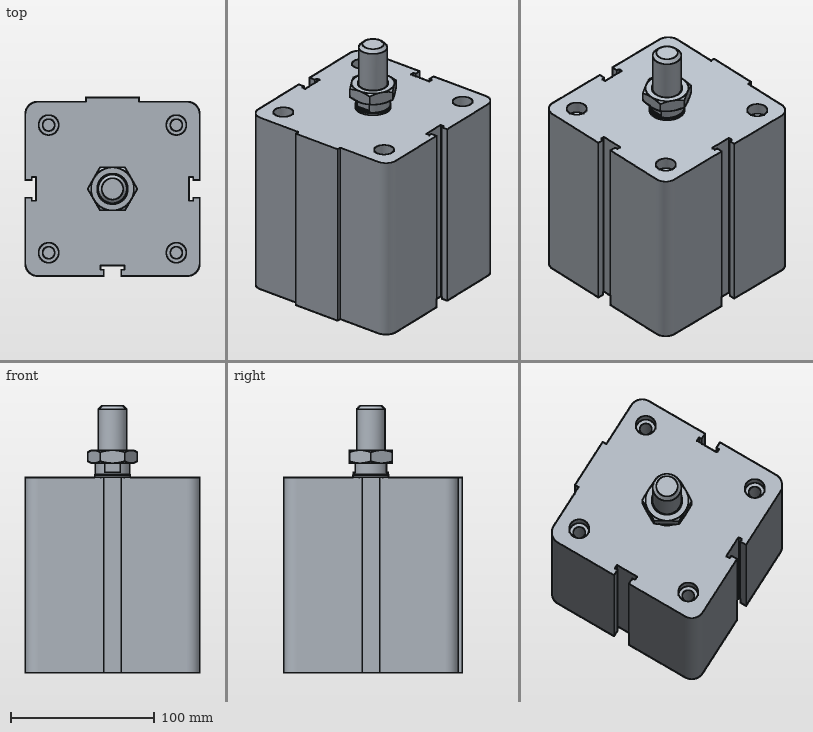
import cadquery as cq
import math

TOTAL_HEIGHT = 186.5
HOUSING_SIDE = 122.0
HOUSING_HEIGHT = 136.5
CORNER_RADIUS = 9.0
HALF_SIDE = HOUSING_SIDE / 2

STRIP_WIDTH = 37.1
STRIP_RISE = 3.0

SLOT_MOUTH_WIDTH = 12.1
SLOT_INNER_WIDTH = 16.5
SLOT_LIP = 4.7
SLOT_DEPTH = 7.5
SLOT_SIDE_ANGLES = (-90, 0, 90)

HOLE_PITCH = 89.1
COUNTERBORE_DIAMETER = 14.0
COUNTERBORE_DEPTH = 8.5
HOLE_DIAMETER = 8.4
HOLE_DEPTH = 37.3

BASE_RING_DIAMETER = 25.0
BASE_RING_HEIGHT = 2.0
BASE_RING_BEVEL_HEIGHT = 0.5
COLLAR_DIAMETER = 24.5
FLATS_ACROSS = 22.0
FLATS_CLEARANCE = 3.4
FLATS_BOTTOM = HOUSING_HEIGHT + FLATS_CLEARANCE
THREAD_DIAMETER = 20.0
TIP_DIAMETER = 15.0

NUT_ACROSS_FLATS = 30.0
NUT_HEIGHT = 9.0
NUT_CLEARANCE = 9.9
NUT_BOTTOM = HOUSING_HEIGHT + NUT_CLEARANCE
NUT_BEVEL_ANGLE = 30.0
NUT_BORE_CHAMFER = 0.7


def cut_t_slots(body):
    """Cut one full-height T-slot into each of the three slotted sides."""
    mouth = cq.Workplane("XY").box(
        SLOT_MOUTH_WIDTH, SLOT_LIP, HOUSING_HEIGHT, centered=(True, False, False)
    )
    channel = (
        cq.Workplane("XY")
        .box(SLOT_INNER_WIDTH, SLOT_DEPTH - SLOT_LIP, HOUSING_HEIGHT, centered=(True, False, False))
        .translate((0, SLOT_LIP, 0))
    )
    slot = mouth.union(channel).translate((0, -HALF_SIDE, 0))
    for angle in SLOT_SIDE_ANGLES:
        body = body.cut(slot.rotate((0, 0, 0), (0, 0, 1), angle))
    return body


def make_housing():
    """Square block with rounded corners, a raised strip, T-slots and corner holes."""
    block = (
        cq.Workplane("XY")
        .rect(HOUSING_SIDE, HOUSING_SIDE)
        .extrude(HOUSING_HEIGHT)
        .edges("|Z")
        .fillet(CORNER_RADIUS)
    )
    strip = cq.Workplane("XY").box(
        STRIP_WIDTH, HALF_SIDE + STRIP_RISE, HOUSING_HEIGHT, centered=(True, False, False)
    )
    body = cut_t_slots(block.union(strip))
    return (
        body.faces(">Z")
        .workplane(origin=(0, 0, HOUSING_HEIGHT))
        .rect(HOLE_PITCH, HOLE_PITCH, forConstruction=True)
        .vertices()
        .cboreHole(HOLE_DIAMETER, COUNTERBORE_DIAMETER, COUNTERBORE_DEPTH, HOLE_DEPTH)
    )


def make_rod():
    """Rod end standing on the housing: base ring, collar with two flats, threaded stud."""
    collar_bottom = HOUSING_HEIGHT + BASE_RING_HEIGHT
    ring = cq.Workplane("XY", origin=(0, 0, HOUSING_HEIGHT)).circle(BASE_RING_DIAMETER / 2)
    bevel_width = (BASE_RING_DIAMETER - COLLAR_DIAMETER) / 2
    ring = ring.extrude(BASE_RING_HEIGHT).faces(">Z").chamfer(BASE_RING_BEVEL_HEIGHT, bevel_width)
    collar = cq.Workplane("XY", origin=(0, 0, collar_bottom)).circle(COLLAR_DIAMETER / 2)
    collar = collar.extrude(NUT_BOTTOM - collar_bottom)

    flats_height = NUT_BOTTOM - FLATS_BOTTOM
    flats_origin = (0, 0, FLATS_BOTTOM)
    outside = cq.Workplane("XY", origin=flats_origin).rect(COLLAR_DIAMETER, COLLAR_DIAMETER)
    outside = outside.extrude(flats_height)
    between = cq.Workplane("XY", origin=flats_origin).rect(COLLAR_DIAMETER, FLATS_ACROSS)
    between = between.extrude(flats_height)
    collar = collar.cut(outside.cut(between))

    stud = (
        cq.Workplane("XY", origin=(0, 0, NUT_BOTTOM))
        .circle(THREAD_DIAMETER / 2)
        .extrude(TOTAL_HEIGHT - NUT_BOTTOM)
        .faces(">Z")
        .chamfer((THREAD_DIAMETER - TIP_DIAMETER) / 2)
    )
    return ring.union(collar).union(stud)


def make_nut():
    """Hexagon nut with corners on the X axis, bevelled on both faces."""
    across_corners = NUT_ACROSS_FLATS / math.cos(math.pi / 6)
    hexagon = (
        cq.Workplane("XY", origin=(0, 0, NUT_BOTTOM))
        .polygon(6, across_corners)
        .circle(THREAD_DIAMETER / 2)
        .extrude(NUT_HEIGHT)
        .faces(">Z")
        .edges("%CIRCLE")
        .chamfer(NUT_BORE_CHAMFER)
    )
    bevel_radius = across_corners / 2
    face_radius = NUT_ACROSS_FLATS / 2
    bevel_drop = (bevel_radius - face_radius) * math.tan(math.radians(NUT_BEVEL_ANGLE))
    nut_top = NUT_BOTTOM + NUT_HEIGHT
    envelope = (
        cq.Workplane("XZ")
        .polyline([
            (0, NUT_BOTTOM),
            (face_radius, NUT_BOTTOM),
            (bevel_radius, NUT_BOTTOM + bevel_drop),
            (bevel_radius, nut_top - bevel_drop),
            (face_radius, nut_top),
            (0, nut_top),
        ])
        .close()
        .revolve(360, (0, 0, 0), (0, 1, 0))
    )
    return hexagon.intersect(envelope)


housing = make_housing()
rod = make_rod()
nut = make_nut()

result = cq.Compound.makeCompound([housing.val(), rod.val(), nut.val()])